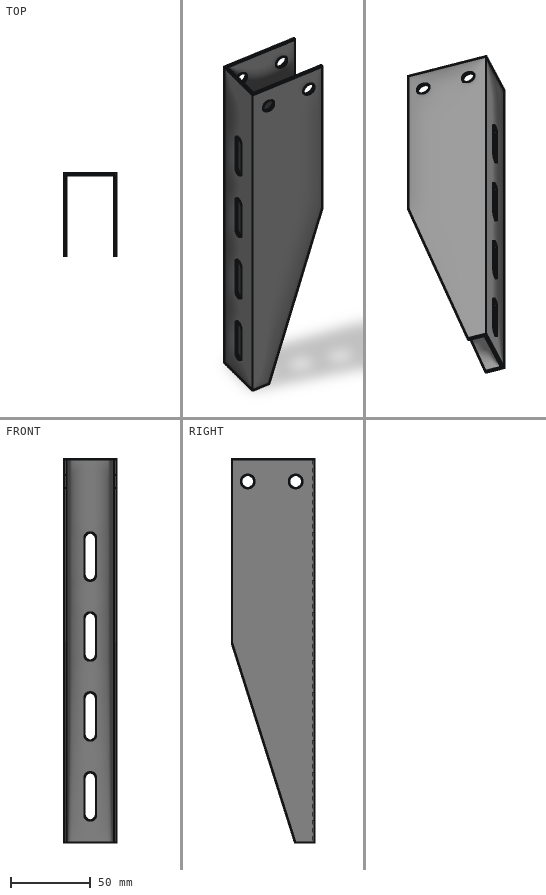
import cadquery as cq

width = 33.0
depth = 51.91
height = 240.0
thickness = 1.5

taper_height = 125.0
foot_depth = 12.25

hole_diameter = 8.2
hole_count = 2
hole_spacing = 30.0
front_hole_offset = 10.0
hole_drop = 14.0

slot_count = 4
slot_width = 7.0
slot_length = 30.0
slot_pitch = 50.0
lowest_slot_height = 29.0


def make_channel():
    """Sharp-cornered U-shaped channel, centred on X, back face at Y = depth."""
    outer = cq.Workplane("XY").box(width, depth, height, centered=(True, False, False))
    inner = cq.Workplane("XY").box(
        width - 2 * thickness, depth - thickness, height, centered=(True, False, False)
    )
    return outer.cut(inner)


def make_taper_cutter():
    """Triangular wedge that narrows both flanges towards the foot."""
    return (
        cq.Workplane("YZ")
        .polyline([(0, 0), (depth - foot_depth, 0), (0, taper_height)])
        .close()
        .extrude(width / 2, both=True)
    )


def make_flange_holes():
    """Pair of cross holes through both flanges near the top."""
    hole_z = height - hole_drop
    return (
        cq.Workplane("YZ")
        .pushPoints([(front_hole_offset + i * hole_spacing, hole_z) for i in range(hole_count)])
        .circle(hole_diameter / 2)
        .extrude(width / 2, both=True)
    )


def make_web_slots():
    """Column of upright slots through the web."""
    return (
        cq.Workplane("XZ", origin=(0, depth, 0))
        .pushPoints([(0, lowest_slot_height + i * slot_pitch) for i in range(slot_count)])
        .slot2D(slot_length, slot_width, angle=90)
        .extrude(thickness)
    )


channel = make_channel().cut(make_taper_cutter())
result = channel.cut(make_flange_holes()).cut(make_web_slots())